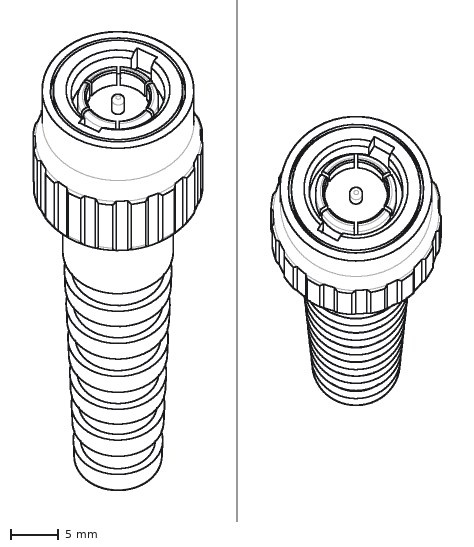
import cadquery as cq
import math

TOTAL_HEIGHT = 61.0

CUT_CLEARANCE = 0.6

NECK_RADIUS = 16.05 / 2
NECK_BOTTOM = 55.7
COLLAR_RADIUS = 18.0 / 2
COLLAR_TOP = 53.15
COLLAR_BOTTOM = 44.5
COLLAR_ROUND = 1.15
KNURL_DEPTH = 0.25
RIB_BEVEL_HEIGHT = 0.35
RIB_COUNT = 16
RIB_CREST_WIDTH = 1.45
RIB_BASE_WIDTH = 2.25
FLOOR_RADIUS = COLLAR_RADIUS - KNURL_DEPTH

BODY_RADIUS = 11.7 / 2
BODY_BOTTOM = 34.35

TAIL_TOP_RADIUS = 5.0
TAIL_END_RADIUS = 3.85
TAIL_TAPER = (TAIL_TOP_RADIUS - TAIL_END_RADIUS) / BODY_BOTTOM
RING_STEP = 0.8
TAIL_ROUND = 0.55
RING_SPANS = [(31.25, 28.6), (25.7, 23.0), (20.0, 17.25), (14.35, 11.8), (9.0, 6.2), (3.1, 0.0)]

GAP_OUTER_RADIUS = 7.15
GAP_INNER_RADIUS = 6.85
GAP_DEPTH = 0.9
BORE_RADIUS = 4.95
BORE_CHAMFER = 0.55
BORE_DEPTH = 3.25
KEYWAY_WIDTH = 2.45
KEYWAY_REACH = 6.0
BORE_FLOOR = TOTAL_HEIGHT - BORE_DEPTH

SLEEVE_TOP = 60.0
SLEEVE_OUTER_RADIUS = 4.3
SLEEVE_INNER_RADIUS = 3.35
SLEEVE_ROUND = 0.5
SLEEVE_CHAMFER = 0.2
SLIT_COUNT = 6
SLIT_WIDTH = 0.35
PIN_TOP = 59.8
PIN_RADIUS = 0.7
PIN_ROUND = 0.4


def cylinder(radius, bottom, top):
    return cq.Workplane("XY").workplane(offset=bottom).circle(radius).extrude(top - bottom)


def tail_radius(height):
    return TAIL_END_RADIUS + TAIL_TAPER * height


def tapered_section(bottom, top, step=0.0):
    """A slice of the tail cone, raised outwards by step."""
    return (
        cq.Workplane("XZ")
        .moveTo(0, bottom)
        .lineTo(tail_radius(bottom) + step, bottom)
        .lineTo(tail_radius(top) + step, top)
        .lineTo(0, top)
        .close()
        .revolve(360, (0, 0, 0), (0, 1, 0))
    )


def make_tail():
    tail = tapered_section(0, BODY_BOTTOM)
    for top, bottom in RING_SPANS:
        tail = tail.union(tapered_section(bottom, top, RING_STEP))
    return tail.faces("<Z").edges().fillet(TAIL_ROUND)


def make_collar():
    """Neck, concave flare and rounded collar as one turned shape, before knurling."""
    flare_run = FLOOR_RADIUS - NECK_RADIUS
    flare_drop = NECK_BOTTOM - COLLAR_TOP
    half_angle = math.atan(flare_run / flare_drop)
    flare_radius = flare_drop / math.sin(2 * half_angle)
    flare_mid = (
        NECK_RADIUS + flare_radius * (1 - math.cos(half_angle)),
        NECK_BOTTOM - flare_radius * math.sin(half_angle),
    )
    round_inset = COLLAR_ROUND * (1 - math.sqrt(0.5))
    return (
        cq.Workplane("XZ")
        .moveTo(0, TOTAL_HEIGHT)
        .lineTo(NECK_RADIUS, TOTAL_HEIGHT)
        .lineTo(NECK_RADIUS, NECK_BOTTOM)
        .threePointArc(flare_mid, (FLOOR_RADIUS, COLLAR_TOP))
        .lineTo(COLLAR_RADIUS, COLLAR_TOP - RIB_BEVEL_HEIGHT)
        .lineTo(COLLAR_RADIUS, COLLAR_BOTTOM + COLLAR_ROUND)
        .threePointArc(
            (COLLAR_RADIUS - round_inset, COLLAR_BOTTOM + round_inset),
            (COLLAR_RADIUS - COLLAR_ROUND, COLLAR_BOTTOM),
        )
        .lineTo(0, COLLAR_BOTTOM)
        .close()
        .revolve(360, (0, 0, 0), (0, 1, 0))
    )


def make_knurl_cutter():
    """Ring of material outside the knurl floor, with the ribs left out."""
    clear_radius = COLLAR_RADIUS + CUT_CLEARANCE
    base_half = RIB_BASE_WIDTH / 2
    crest_half = RIB_CREST_WIDTH / 2
    base_reach = math.sqrt(FLOOR_RADIUS**2 - base_half**2)
    rib = (
        cq.Workplane("XY")
        .workplane(offset=COLLAR_BOTTOM)
        .polyline(
            [
                (base_reach, -base_half),
                (COLLAR_RADIUS, -crest_half),
                (clear_radius, -crest_half),
                (clear_radius, crest_half),
                (COLLAR_RADIUS, crest_half),
                (base_reach, base_half),
            ]
        )
        .close()
        .extrude(COLLAR_TOP - COLLAR_BOTTOM)
    )
    cutter = cylinder(clear_radius, COLLAR_BOTTOM, COLLAR_TOP)
    cutter = cutter.cut(cylinder(FLOOR_RADIUS, COLLAR_BOTTOM, COLLAR_TOP))
    for index in range(RIB_COUNT):
        cutter = cutter.cut(rib.rotate((0, 0, 0), (0, 0, 1), index * 360 / RIB_COUNT))
    return cutter


def make_face_gap():
    gap_floor = TOTAL_HEIGHT - GAP_DEPTH
    gap = cylinder(GAP_OUTER_RADIUS, gap_floor, TOTAL_HEIGHT)
    return gap.cut(cylinder(GAP_INNER_RADIUS, gap_floor, TOTAL_HEIGHT))


def make_bore():
    """Chamfered bore with two opposite keyways along Y."""
    bore = (
        cq.Workplane("XZ")
        .moveTo(0, BORE_FLOOR)
        .lineTo(BORE_RADIUS, BORE_FLOOR)
        .lineTo(BORE_RADIUS, TOTAL_HEIGHT - BORE_CHAMFER)
        .lineTo(BORE_RADIUS + BORE_CHAMFER, TOTAL_HEIGHT)
        .lineTo(0, TOTAL_HEIGHT)
        .close()
        .revolve(360, (0, 0, 0), (0, 1, 0))
    )
    keyways = (
        cq.Workplane("XY")
        .workplane(offset=BORE_FLOOR)
        .rect(KEYWAY_WIDTH, 2 * KEYWAY_REACH)
        .extrude(BORE_DEPTH)
    )
    return bore.union(keyways)


def make_sleeve():
    """Contact sleeve with a rounded outer rim and chamfered inner rim, split by radial slits."""
    sleeve = (
        cq.Workplane("XZ")
        .moveTo(SLEEVE_INNER_RADIUS, BORE_FLOOR)
        .lineTo(SLEEVE_OUTER_RADIUS, BORE_FLOOR)
        .lineTo(SLEEVE_OUTER_RADIUS, SLEEVE_TOP - SLEEVE_ROUND)
        .radiusArc((SLEEVE_OUTER_RADIUS - SLEEVE_ROUND, SLEEVE_TOP), -SLEEVE_ROUND)
        .lineTo(SLEEVE_INNER_RADIUS + SLEEVE_CHAMFER, SLEEVE_TOP)
        .lineTo(SLEEVE_INNER_RADIUS, SLEEVE_TOP - SLEEVE_CHAMFER)
        .close()
        .revolve(360, (0, 0, 0), (0, 1, 0))
    )
    slit = (
        cq.Workplane("XY")
        .workplane(offset=BORE_FLOOR)
        .rect(2 * (SLEEVE_OUTER_RADIUS + CUT_CLEARANCE), SLIT_WIDTH)
        .extrude(SLEEVE_TOP - BORE_FLOOR)
    )
    for index in range(SLIT_COUNT // 2):
        sleeve = sleeve.cut(slit.rotate((0, 0, 0), (0, 0, 1), index * 360 / SLIT_COUNT))
    return sleeve


def make_pin():
    return cylinder(PIN_RADIUS, BORE_FLOOR, PIN_TOP).faces(">Z").edges().fillet(PIN_ROUND)


result = (
    make_collar()
    .cut(make_knurl_cutter())
    .union(cylinder(BODY_RADIUS, BODY_BOTTOM, COLLAR_BOTTOM))
    .union(make_tail())
    .cut(make_face_gap())
    .cut(make_bore())
    .union(make_sleeve())
    .union(make_pin())
)